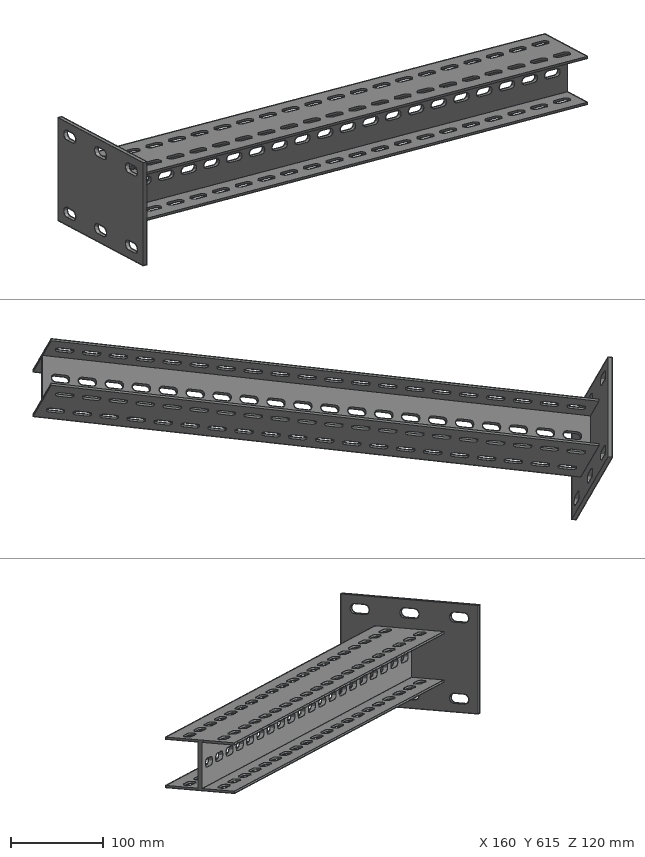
import cadquery as cq

total_length = 615.0
plate_width = 160.0
plate_height = 120.0
plate_thickness = 5.0

beam_width = 80.0
beam_height = 56.0
flange_thickness = 2.5
web_thickness = 2 * flange_thickness
beam_length = total_length - plate_thickness

beam_slot_count = 20
beam_slot_length = 20.0
beam_slot_width = 9.0
flange_row_spacing = beam_width / 2
beam_slot_end_distance = (beam_width - flange_row_spacing) / 2
beam_slot_pitch = (beam_length - 2 * beam_slot_end_distance) / (beam_slot_count - 1)

plate_slot_length = 22.0
plate_slot_width = 11.0
plate_slot_pitch = 58.0
plate_slot_columns = 3
plate_slot_row_spacing = 90.0
plate_slot_rows = 2


def make_end_plate():
    """Flat plate with its outer face on Y = 0 and its centre on the Y axis."""
    return cq.Workplane("XY").box(
        plate_width, plate_thickness, plate_height, centered=(True, False, True)
    )


def make_beam():
    """Two flanges joined by a central web, running from the plate to the free end."""
    flange_offset = (beam_height - flange_thickness) / 2
    beam = cq.Workplane("XY").box(web_thickness, beam_length, beam_height, centered=(True, False, True))
    for side in (-1, 1):
        flange = (
            cq.Workplane("XY")
            .box(beam_width, beam_length, flange_thickness, centered=(True, False, True))
            .translate((0, 0, side * flange_offset))
        )
        beam = beam.union(flange)
    return beam.translate((0, plate_thickness, 0))


def beam_slot_centre_y():
    """Y position halfway along the beam, where the slot rows are centred."""
    return plate_thickness + beam_length / 2


def make_flange_slots():
    """Two rows of slot cutters passing vertically through both flanges."""
    return (
        cq.Workplane("XY")
        .center(0, beam_slot_centre_y())
        .rarray(flange_row_spacing, beam_slot_pitch, 2, beam_slot_count)
        .slot2D(beam_slot_length, beam_slot_width, 90)
        .extrude(beam_height, both=True)
    )


def make_web_slots():
    """One row of slot cutters passing sideways through the web at mid height."""
    return (
        cq.Workplane("YZ")
        .center(beam_slot_centre_y(), 0)
        .rarray(beam_slot_pitch, 6, beam_slot_count, 1)
        .slot2D(beam_slot_length, beam_slot_width)
        .extrude(web_thickness, both=True)
    )


def make_plate_slots():
    """Grid of slot cutters passing through the end plate, above and below the beam."""
    return (
        cq.Workplane("XZ")
        .rarray(plate_slot_pitch, plate_slot_row_spacing, plate_slot_columns, plate_slot_rows)
        .slot2D(plate_slot_length, plate_slot_width)
        .extrude(-plate_thickness)
    )


slotted_beam = make_beam().cut(make_flange_slots()).cut(make_web_slots())
slotted_plate = make_end_plate().cut(make_plate_slots())
result = slotted_plate.union(slotted_beam)